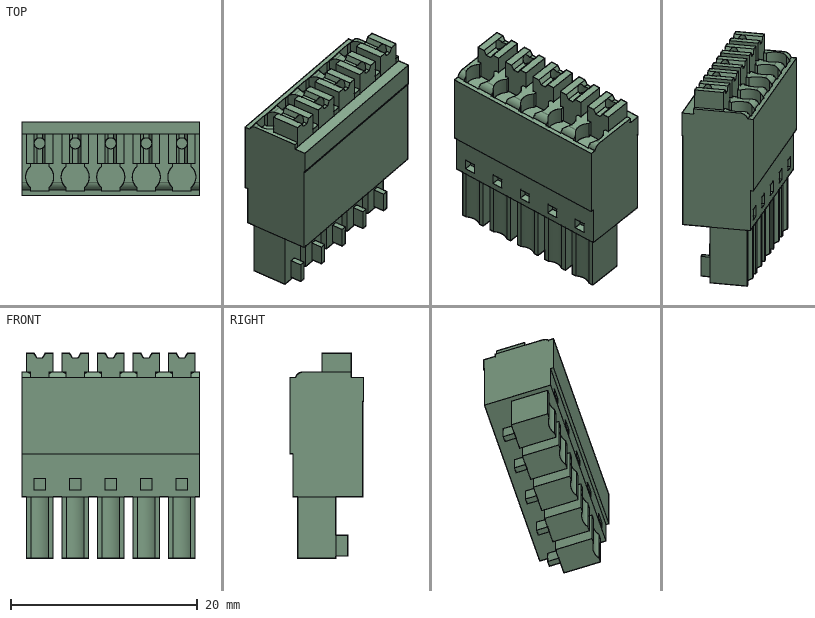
import cadquery as cq
import math

poles = 5
width = 19.05
pitch = width / poles
pole_xs = [(i - (poles - 1) / 2) * pitch for i in range(poles)]

back_y = 7.9
back_relief = 0.09
back_lip_z = 16.83
lower_front_y = 0.33
front_step_z = 11.2
bottom_z = 6.6
ledge_z = 19.4
deck_z = 20.0
rear_step_y = 6.6
nose_y = 0.6
nose_radius = 0.88

entry_floor_z = 18.1
entry_diameter = 3.01
entry_y = 2.0
entry_slot_width = 2.0
entry_front_y = 0.5

lever_width = 2.85
lever_front_y = 3.43
lever_top_z = 22.0
notch_top_width = 1.19
notch_floor_width = 0.6
notch_depth = 0.5
tool_hole_diameter = 1.19
tool_hole_y = 5.6
tool_hole_depth = 1.32

window_size = 1.2
window_z = 7.95
window_depth = 0.81

leg_width = 2.85
leg_front_y = 0.81
leg_back_y = 4.93
groove_width = 1.85
groove_depth = 0.3
latch_width = 0.6
latch_back_y = 6.2
latch_bottom_z = 0.25
latch_top_z = 2.5


def block(x, x_size, y_range, z_range):
    """Box centred on x, spanning the given Y and Z ranges."""
    y0, y1 = y_range
    z0, z1 = z_range
    return cq.Workplane("XY").box(x_size, y1 - y0, z1 - z0).translate((x, (y0 + y1) / 2, (z0 + z1) / 2))


def housing_shell():
    """Side profile extruded over the full width; the deck rounds off towards the front ledge."""
    nose_drop = deck_z - ledge_z
    nose_run = math.sqrt(nose_radius**2 - (nose_radius - nose_drop) ** 2)
    return (
        cq.Workplane("YZ")
        .moveTo(lower_front_y, bottom_z)
        .lineTo(lower_front_y, front_step_z)
        .lineTo(0, front_step_z)
        .lineTo(0, ledge_z)
        .lineTo(nose_y, ledge_z)
        .radiusArc((nose_y + nose_run, deck_z), nose_radius)
        .lineTo(rear_step_y, deck_z)
        .lineTo(rear_step_y, ledge_z)
        .lineTo(back_y, ledge_z)
        .lineTo(back_y, back_lip_z)
        .lineTo(back_y - back_relief, back_lip_z)
        .lineTo(back_y - back_relief, bottom_z)
        .close()
        .extrude(width / 2, both=True)
    )


def wire_entry(x):
    """Keyhole pocket: a round well with a narrower slot from the front ledge to the lever."""
    y_range = (entry_front_y, lever_front_y)
    z_range = (entry_floor_z, deck_z)
    well = (
        cq.Workplane("XY", origin=(x, entry_y, entry_floor_z))
        .circle(entry_diameter / 2)
        .extrude(deck_z - entry_floor_z)
        .intersect(block(x, entry_diameter, y_range, z_range))
    )
    return well.union(block(x, entry_slot_width, y_range, z_range))


def lever_blank(x):
    """Plain lever block, which is also the shape of its seat in the housing."""
    return block(x, lever_width, (lever_front_y, rear_step_y), (entry_floor_z, lever_top_z))


def window(x):
    """Square blind window centred at window_z."""
    y_range = (lower_front_y, lower_front_y + window_depth)
    z_range = (window_z - window_size / 2, window_z + window_size / 2)
    return block(x, window_size, y_range, z_range)


def leg(x):
    """Leg with a round groove down its front and a latch block low on its back."""
    groove = (
        cq.Workplane("XY")
        .moveTo(x - groove_width / 2, leg_front_y)
        .threePointArc((x, leg_front_y + groove_depth), (x + groove_width / 2, leg_front_y))
        .close()
        .extrude(bottom_z)
    )
    latch = block(x, latch_width, (leg_back_y, latch_back_y), (latch_bottom_z, latch_top_z))
    return block(x, leg_width, (leg_front_y, leg_back_y), (0, bottom_z)).cut(groove).union(latch)


def make_housing():
    body = housing_shell()
    for x in pole_xs:
        body = body.cut(wire_entry(x)).cut(lever_blank(x)).cut(window(x)).union(leg(x))
    return body


def make_lever(x):
    """Release lever with a tapered notch along its top and a blind tool hole."""
    notch_floor_z = lever_top_z - notch_depth
    notch = (
        cq.Workplane("XZ", origin=(0, rear_step_y, 0))
        .moveTo(x - notch_top_width / 2, lever_top_z)
        .lineTo(x - notch_floor_width / 2, notch_floor_z)
        .lineTo(x + notch_floor_width / 2, notch_floor_z)
        .lineTo(x + notch_top_width / 2, lever_top_z)
        .close()
        .extrude(rear_step_y - lever_front_y)
    )
    tool_hole = (
        cq.Workplane("XY", origin=(x, tool_hole_y, lever_top_z - tool_hole_depth))
        .circle(tool_hole_diameter / 2)
        .extrude(tool_hole_depth)
    )
    return lever_blank(x).cut(notch).cut(tool_hole)


housing = make_housing()
levers = [make_lever(x) for x in pole_xs]

result = cq.Compound.makeCompound([housing.val(), *[lever.val() for lever in levers]])